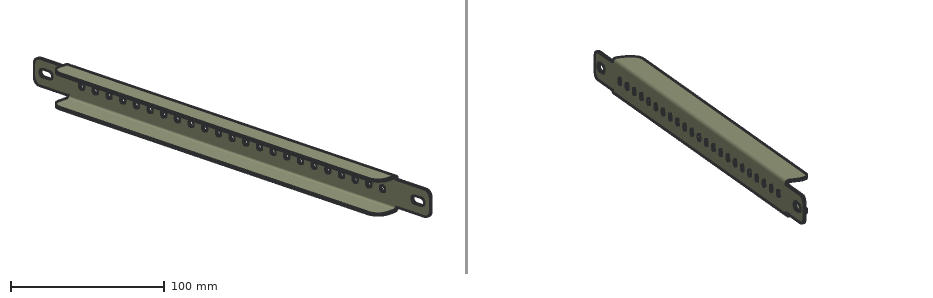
import cadquery as cq

strip_length = 362.0
channel_depth = 18.0
channel_height = 25.0

thickness = 1.5
bend_inner_radius = 1.5
bend_outer_radius = bend_inner_radius + thickness

strip_height = channel_height - 2 * bend_outer_radius
strip_corner_radius = 5.0

flange_length = 300.0
flange_corner_radius = 9.0

hole_count = 23
hole_pitch = 12.5
hole_diameter = 4.6

slot_length = 11.5
slot_width = 5.5
slot_end_distance = 11.0
slot_spacing = strip_length - 2 * slot_end_distance

front_y = -channel_depth


def make_channel():
    """U-shaped channel, bent along X, with rounded free corners on the flanges."""
    outer = (
        cq.Workplane("XY")
        .box(flange_length, channel_depth, channel_height)
        .translate((0, front_y / 2, 0))
        .edges("|X and >Y")
        .fillet(bend_outer_radius)
    )
    inner = (
        cq.Workplane("XY")
        .box(flange_length, channel_depth, channel_height - 2 * thickness)
        .translate((0, front_y / 2 - thickness, 0))
        .edges("|X and >Y")
        .fillet(bend_inner_radius)
    )
    return outer.cut(inner).edges("|Z and <Y").fillet(flange_corner_radius)


def make_strip():
    """Flat back strip that runs past both ends of the channel."""
    return (
        cq.Workplane("XY")
        .box(strip_length, thickness, strip_height)
        .translate((0, -thickness / 2, 0))
        .edges("|Y")
        .fillet(strip_corner_radius)
    )


def make_hole_cutters():
    """Row of round holes along the middle of the web."""
    return (
        cq.Workplane("XZ")
        .rarray(hole_pitch, 1, hole_count, 1)
        .circle(hole_diameter / 2)
        .extrude(thickness)
    )


def make_slot_cutters():
    """Lengthwise mounting slots at the two ends of the strip."""
    return (
        cq.Workplane("XZ")
        .rarray(slot_spacing, 1, 2, 1)
        .slot2D(slot_length, slot_width)
        .extrude(thickness)
    )


result = make_channel().union(make_strip()).cut(make_hole_cutters()).cut(make_slot_cutters())